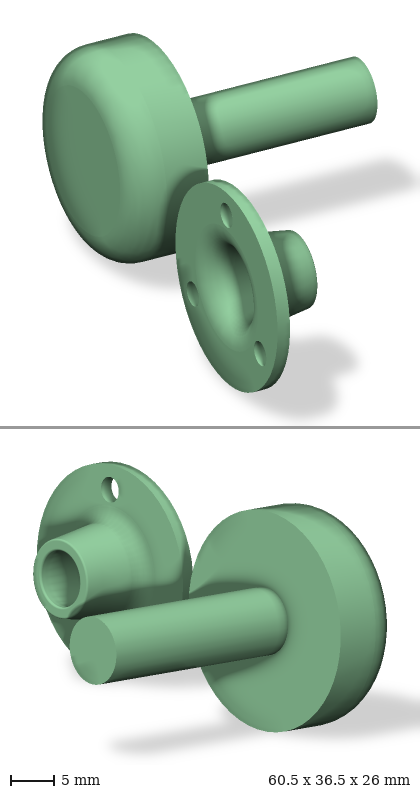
import cadquery as cq
import math

OVERALL_WIDTH = 60.5

KNOB_DIAMETER = 26.0
HEAD_LENGTH = 9.5
HEAD_ROUNDING = 4.0
STEM_DIAMETER = 8.0
STEM_LENGTH = 27.0

FLANGE_DIAMETER = 25.0
AXIS_SPACING = OVERALL_WIDTH - (KNOB_DIAMETER + FLANGE_DIAMETER) / 2
FLANGE_THICKNESS = 1.65
BUSHING_LENGTH = HEAD_LENGTH
MOUTH_RADIUS = 7.6
INNER_FLARE_RADIUS = 3.6
OUTER_FLARE_RADIUS = INNER_FLARE_RADIUS - FLANGE_THICKNESS
BORE_TAPER = math.radians(6.5)
NECK_TAPER = math.radians(9)
LIP_ROUNDING = 0.25

SCREW_HOLE_COUNT = 3
SCREW_HOLE_DIAMETER = 3.0
SCREW_CIRCLE_RADIUS = 9.5


def make_knob():
    """Round head with a rounded front rim and a plain stem behind it."""
    head = (
        cq.Workplane("XZ")
        .circle(KNOB_DIAMETER / 2)
        .extrude(-HEAD_LENGTH)
        .faces("<Y")
        .edges()
        .fillet(HEAD_ROUNDING)
    )
    stem = (
        cq.Workplane("XZ", origin=(0, HEAD_LENGTH, 0))
        .circle(STEM_DIAMETER / 2)
        .extrude(-STEM_LENGTH)
    )
    return head.union(stem)


def flare_point(radius, angle):
    """Point (Y, Z) on a flare arc; angle 0 points at the bushing axis."""
    return (
        INNER_FLARE_RADIUS - radius * math.sin(angle),
        MOUTH_RADIUS - radius * math.cos(angle),
    )


def lip_point(cone_start, taper):
    """Point (Y, Z) where the taper starting at cone_start reaches the rear end."""
    start_y, start_z = cone_start
    return (BUSHING_LENGTH, start_z - (BUSHING_LENGTH - start_y) * math.tan(taper))


def make_bushing_body():
    """Flange and hollow tapered neck, joined by concentric flare arcs."""
    arc_middle = math.pi / 4
    inner_cone_start = flare_point(INNER_FLARE_RADIUS, BORE_TAPER)
    outer_cone_start = flare_point(OUTER_FLARE_RADIUS, NECK_TAPER)
    body = (
        cq.Workplane("YZ")
        .moveTo(0, MOUTH_RADIUS)
        .lineTo(0, FLANGE_DIAMETER / 2)
        .lineTo(FLANGE_THICKNESS, FLANGE_DIAMETER / 2)
        .lineTo(FLANGE_THICKNESS, MOUTH_RADIUS)
        .threePointArc(flare_point(OUTER_FLARE_RADIUS, arc_middle), outer_cone_start)
        .lineTo(*lip_point(outer_cone_start, NECK_TAPER))
        .lineTo(*lip_point(inner_cone_start, BORE_TAPER))
        .lineTo(*inner_cone_start)
        .threePointArc(flare_point(INNER_FLARE_RADIUS, arc_middle), (0, MOUTH_RADIUS))
        .close()
        .revolve(360, (0, 0), (1, 0))
    )
    return body.faces(">Y").edges().fillet(LIP_ROUNDING)


def make_screw_holes():
    """Cutters through the flange, evenly spaced with one at the top."""
    return (
        cq.Workplane("XZ")
        .polarArray(SCREW_CIRCLE_RADIUS, 90, 360, SCREW_HOLE_COUNT)
        .circle(SCREW_HOLE_DIAMETER / 2)
        .extrude(-FLANGE_THICKNESS)
    )


def make_bushing():
    """Drilled bushing, set beside the knob."""
    return make_bushing_body().cut(make_screw_holes()).translate((AXIS_SPACING, 0, 0))


knob = make_knob()
bushing = make_bushing()

result = cq.Compound.makeCompound([knob.solids().val(), bushing.solids().val()])